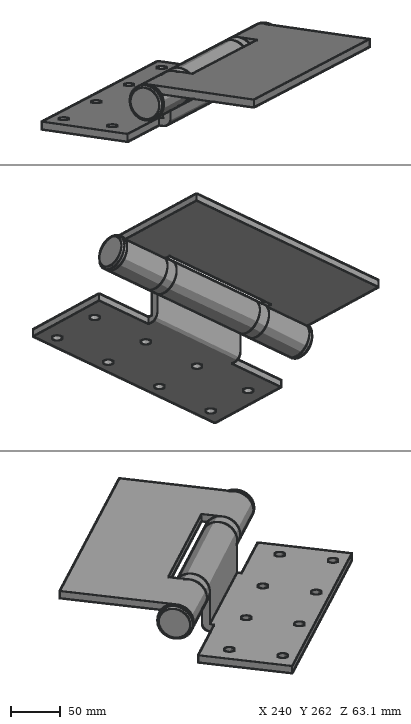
import cadquery as cq

overall_length = 262.0
overall_width = 240.0
overall_height = 63.1
leaf_length = 250.0
leaf_thickness = 8.5
barrel_diameter = 36.7
pin_diameter = 18.3
head_chamfer = 2.0

knuckle_length = 114.2
notch_length = 139.5
fixed_leaf_edge = 22.8
notch_edge = 21.5

hole_diameter = 10.5
hole_pitch_x = 55.0
hole_pitch_y = 70.2
hole_rows = 4
hole_edge_distance = 14.7

barrel_radius = barrel_diameter / 2
half_width = overall_width / 2
fixed_leaf_bottom = barrel_radius - overall_height
fixed_leaf_top = fixed_leaf_bottom + leaf_thickness
washer_thickness = (notch_length - knuckle_length) / 2
head_thickness = (overall_length - leaf_length) / 2


def box(x_min, x_max, length, z_min, z_max):
    """Block centred on Y = 0."""
    return cq.Workplane("XY").box(
        x_max - x_min, length, z_max - z_min, centered=(False, True, False)
    ).translate((x_min, 0, z_min))


def rod(diameter, length, y_center=0.0):
    """Cylinder along the hinge axis."""
    return (
        cq.Workplane("XZ", origin=(0, y_center + length / 2, 0))
        .circle(diameter / 2)
        .extrude(length)
    )


pin_bore = rod(pin_diameter, overall_length)


def make_fixed_leaf():
    """Low plate with screw holes, bent upward into the central knuckle."""
    plate = box(-half_width, -fixed_leaf_edge, leaf_length, fixed_leaf_bottom, fixed_leaf_top)
    upright_inner_x = leaf_thickness - barrel_radius
    foot = box(-fixed_leaf_edge, upright_inner_x, knuckle_length, fixed_leaf_bottom, fixed_leaf_top)
    upright = box(-barrel_radius, upright_inner_x, knuckle_length, fixed_leaf_bottom, 0)
    bend = foot.union(upright).edges("|Y and >X and <Z").fillet(leaf_thickness)
    knuckle = rod(barrel_diameter, knuckle_length)
    hole_center_x = hole_edge_distance + hole_pitch_x / 2 - half_width
    holes = (
        cq.Workplane("XY", origin=(hole_center_x, 0, fixed_leaf_bottom))
        .rarray(hole_pitch_x, hole_pitch_y, 2, hole_rows)
        .circle(hole_diameter / 2)
        .extrude(leaf_thickness)
    )
    return plate.union(bend).union(knuckle).cut(pin_bore).cut(holes)


def make_swing_leaf():
    """High plate tangent to two outer knuckles, notched between them."""
    plate = box(0, half_width, leaf_length, barrel_radius - leaf_thickness, barrel_radius)
    barrel = rod(barrel_diameter, leaf_length)
    notch = box(-barrel_radius, notch_edge, notch_length, -barrel_radius, barrel_radius)
    return plate.union(barrel).cut(notch).cut(pin_bore)


def make_washer(side):
    """Spacer ring between the central knuckle and an outer knuckle."""
    y_center = side * (knuckle_length + washer_thickness) / 2
    return rod(barrel_diameter, washer_thickness, y_center).cut(pin_bore)


def make_pin():
    """Shank with a chamfered head at each end."""
    pin = rod(pin_diameter, leaf_length)
    for side, end_face in ((-1, "<Y"), (1, ">Y")):
        y_center = side * (leaf_length + head_thickness) / 2
        head = rod(barrel_diameter, head_thickness, y_center)
        pin = pin.union(head.faces(end_face).chamfer(head_chamfer))
    return pin


fixed_leaf = make_fixed_leaf()
swing_leaf = make_swing_leaf()
washers = [make_washer(side) for side in (-1, 1)]
pin = make_pin()

result = cq.Compound.makeCompound([
    fixed_leaf.solids().val(),
    swing_leaf.solids().val(),
    *[washer.solids().val() for washer in washers],
    pin.solids().val(),
])